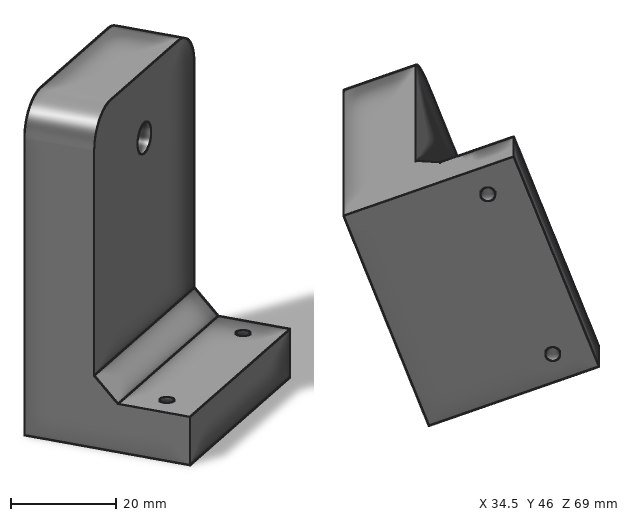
import cadquery as cq

length = 34.5
width = 46.0
height = 69.0

wall_thickness = 14.55
base_thickness = 10.0
gusset_leg = 5.0
corner_radius = 7.5

wall_hole_diameter = 6.3
wall_hole_height = 55.0
base_hole_diameter = 2.8
base_hole_x = 27.2
base_hole_spacing = 35.0


def bracket_body():
    """L-shaped side profile, extruded across the full width."""
    profile = [
        (0, 0),
        (length, 0),
        (length, base_thickness),
        (wall_thickness + gusset_leg, base_thickness),
        (wall_thickness, base_thickness + gusset_leg),
        (wall_thickness, height),
        (0, height),
    ]
    body = cq.Workplane("XZ").polyline(profile).close().extrude(width / 2, both=True)
    return body.faces(">Z").edges("|X").fillet(corner_radius)


def wall_hole():
    """Cylinder passing through the wall along X."""
    return (
        cq.Workplane("YZ")
        .center(0, wall_hole_height)
        .circle(wall_hole_diameter / 2)
        .extrude(wall_thickness)
    )


def base_holes():
    """Pair of vertical cylinders passing through the base."""
    half_spacing = base_hole_spacing / 2
    return (
        cq.Workplane("XY")
        .pushPoints([(base_hole_x, -half_spacing), (base_hole_x, half_spacing)])
        .circle(base_hole_diameter / 2)
        .extrude(base_thickness)
    )


result = bracket_body().cut(wall_hole()).cut(base_holes())